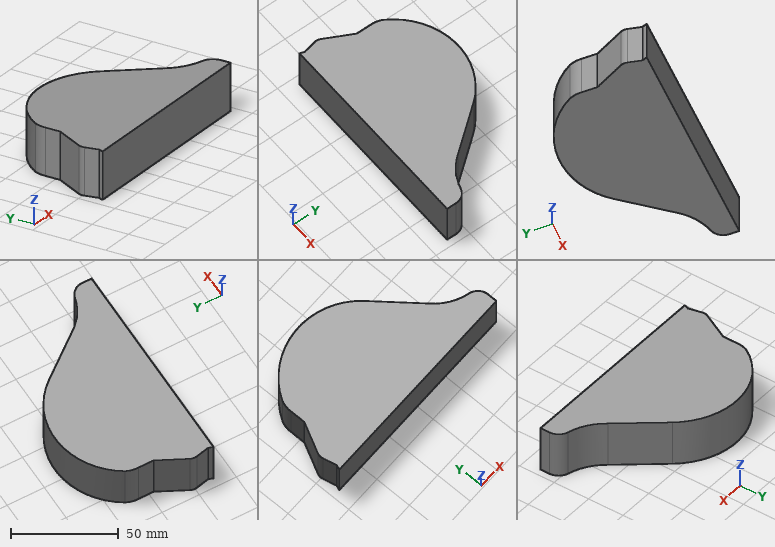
import cadquery as cq

length = 112.7
depth = 61.1
thickness = 25.0

base_left = (0.8, 0)
base_notch = (1.7, 2.5)
lower_nose_start = (0.1, 9.6)
lower_nose_middle = (0, 10.7)
lower_nose_end = (0.6, 13.0)
neck_left = (8.3, 28.0)
shoulder_start = (8.3, 36.2)
shoulder_middle = (8.7, 39.6)
dome_start = (9.8, 42.6)

dome_top = (42.7, depth)
dome_end = (72.7, 46.5)
tail_slope_end = (91.3, 23.0)
tail_hollow_middle = (99.0, 15.8)
tail_hollow_end = (107.6, 12.1)
tail_tip_middle = (111.4, 9.4)
tail_tip_end = (length, 5.1)
base_right = (length, 0)

outline = (
    cq.Workplane("XY")
    .moveTo(*base_left)
    .lineTo(*base_notch)
    .lineTo(*lower_nose_start)
    .threePointArc(lower_nose_middle, lower_nose_end)
    .lineTo(*neck_left)
    .lineTo(*shoulder_start)
    .threePointArc(shoulder_middle, dome_start)
    .threePointArc(dome_top, dome_end)
    .lineTo(*tail_slope_end)
    .threePointArc(tail_hollow_middle, tail_hollow_end)
    .threePointArc(tail_tip_middle, tail_tip_end)
    .lineTo(*base_right)
    .close()
)

result = outline.extrude(thickness)